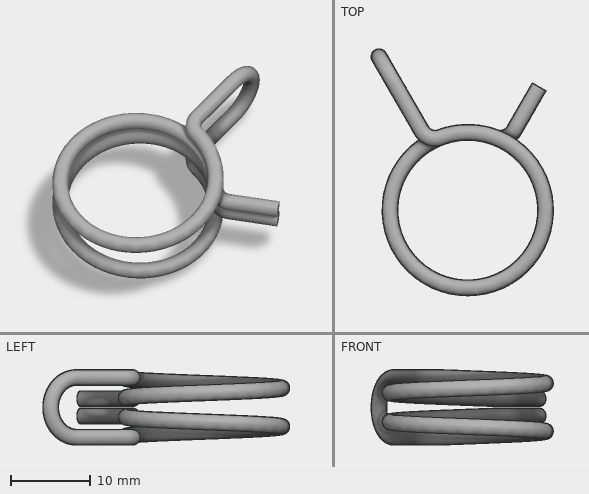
import cadquery as cq
import math


wire_radius = 1.0
coil_radius = 9.8
bend_radius = 2.0
handle_height = 3.75
tail_height = 1.1
overall_length = 31.1
tail_length = 6.3

handle_bend_angle = 110.4
tail_bend_angle = 180 - handle_bend_angle
leg_angle = 120

coil_sweep = 360 + handle_bend_angle - tail_bend_angle
coil_rise = handle_height - tail_height
coil_pitch = coil_rise * 360 / coil_sweep


def polar(radius, angle, height):
    """Point at a distance and an angle in degrees around the coil axis."""
    return cq.Vector(
        radius * math.cos(math.radians(angle)),
        radius * math.sin(math.radians(angle)),
        height,
    )


def sweep_wire(path, start, direction):
    """Round wire swept along a path, its end disc square to the given direction."""
    profile = cq.Workplane(cq.Plane(origin=start, normal=direction)).circle(wire_radius)
    return profile.sweep(cq.Workplane(obj=path), isFrenet=True)


def leg_bend(height):
    """Edge from the coil to the straight leg on the -X side, tangent to both."""
    center = polar(coil_radius + bend_radius, handle_bend_angle, height)
    start_angle = handle_bend_angle + 180
    end_angle = leg_angle + 90
    start, middle, end = [
        center + polar(bend_radius, angle, 0)
        for angle in (start_angle, (start_angle + end_angle) / 2, end_angle)
    ]
    return cq.Edge.makeThreePointArc(start, middle, end)


def make_coil():
    """Right-handed coil rising from the tail bend to the handle bend."""
    helix = cq.Wire.makeHelix(coil_pitch, coil_rise, coil_radius)
    helix = helix.rotate(cq.Vector(), cq.Vector(0, 0, 1), tail_bend_angle)
    helix = helix.translate(cq.Vector(0, 0, tail_height))
    start = polar(coil_radius, tail_bend_angle, tail_height)
    return sweep_wire(helix, start, polar(1, tail_bend_angle + 90, 0))


def make_handle_half():
    """Bend, straight leg and upper quarter of the U, ending on the mirror plane."""
    outward = polar(1, leg_angle, 0)
    down = cq.Vector(0, 0, -handle_height)
    bend = leg_bend(handle_height)
    u_radius = handle_height
    tip_y = overall_length - coil_radius - 2 * wire_radius
    straight_length = (tip_y - bend.endPoint().y) / outward.y - u_radius
    leg_end = bend.endPoint() + outward * straight_length
    u_center = leg_end + down
    u_middle = u_center + (outward - down.normalized()) * (u_radius * math.sqrt(0.5))
    leg = cq.Edge.makeLine(bend.endPoint(), leg_end)
    quarter = cq.Edge.makeThreePointArc(leg_end, u_middle, u_center + outward * u_radius)
    path = cq.Wire.assembleEdges([bend, leg, quarter])
    return sweep_wire(path, bend.startPoint(), polar(1, handle_bend_angle + 90, 0))


def make_tail():
    """Bend and straight free end on the +X side."""
    bend = leg_bend(tail_height)
    tail_end = bend.endPoint() + polar(tail_length, leg_angle, 0)
    path = cq.Wire.assembleEdges([bend, cq.Edge.makeLine(bend.endPoint(), tail_end)])
    tail = sweep_wire(path, bend.startPoint(), polar(1, handle_bend_angle + 90, 0))
    return tail.mirror("YZ")


upper_half = make_coil().union(make_handle_half()).union(make_tail())
result = upper_half.union(upper_half.mirror("XY"))